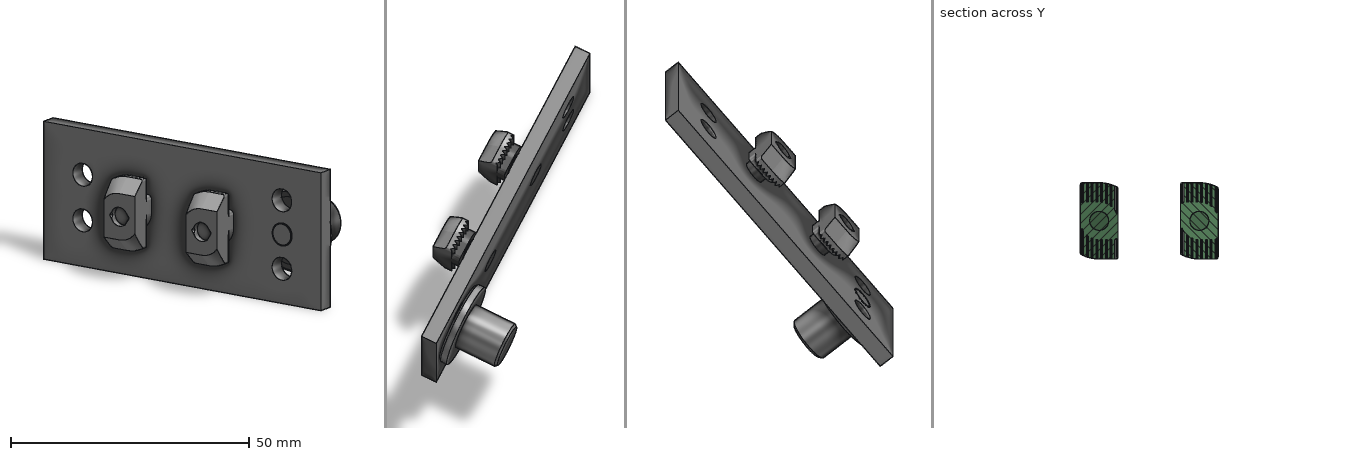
import cadquery as cq
import math


plate_length = 71.0
plate_height = 30.0
plate_thickness = 3.5
hole_radius = 2.5
outer_column_x = 25.5
left_hole_z = 5.0
right_hole_z = 7.45

pin_radius = hole_radius
pin_chamfer = 0.2
stud_xs = (-10.5, 10.5)
spigot_radius = 2.05
spigot_recess = 1.4

nut_gap = 1.9
boss_height = 1.4
boss_radius = 4.0
boss_corner_radius = 1.0
head_half_width = boss_radius
head_half_height = 8.0
head_thickness = 4.7
head_corner_radius = 0.5
head_bevel = 3.0
tooth_pitch = 1.0
tooth_depth = 0.8
side_land_width = 0.3
side_land_depth = 0.35
notch_reach = 2.5
notch_taper = 30.0

boss_y = -nut_gap
tooth_tip_y = boss_y - boss_height
nut_front_y = tooth_tip_y - head_thickness
spigot_end_y = nut_front_y + spigot_recess

flange_radius = 9.0
flange_thickness = 1.9
flange_chamfer = 0.5
neck_radius = 5.0
neck_length = 9.65
neck_chamfer = 0.5
disc_radius = 7.4
disc_thickness = 1.0


def slab(outline_xz, y_start, y_end):
    """Extrude a closed XZ sketch, drawn on the 'XZ' plane, from y_start to y_end."""
    return outline_xz.extrude(y_start - y_end).translate((0, y_start, 0))


def rod(radius, y_start, y_end):
    """Cylinder along Y."""
    return slab(cq.Workplane("XZ").circle(radius), y_start, y_end)


def make_plate():
    hole_places = [(outer_column_x, 0)]
    hole_places += [(x, 0) for x in stud_xs]
    for side in (-1, 1):
        hole_places.append((-outer_column_x, side * left_hole_z))
        hole_places.append((outer_column_x, side * right_hole_z))
    plate = slab(cq.Workplane("XZ").rect(plate_length, plate_height), 0, plate_thickness)
    holes = slab(cq.Workplane("XZ").pushPoints(hole_places).circle(hole_radius), 0, plate_thickness)
    return plate.cut(holes)


def make_pin():
    """Plain rod through the plate, chamfered at its flush front end."""
    return rod(pin_radius, 0, plate_thickness).faces("<Y").chamfer(pin_chamfer)


def make_stud():
    """Rod from the back of the plate to the nut, with a thinner spigot inside the nut."""
    shank = rod(pin_radius, boss_y, plate_thickness).faces("<Y").chamfer(pin_chamfer)
    return shank.union(rod(spigot_radius, spigot_end_y, boss_y))


def quarter_turn_outline(half_width, half_height):
    """Rectangle whose upper left and lower right quarters are cut to arcs about its centre."""
    radius = half_height
    arc_end_z = math.sqrt(radius**2 - half_width**2)
    middle_angle = (math.pi / 2 + math.atan2(arc_end_z, -half_width)) / 2
    middle_x = radius * math.cos(middle_angle)
    middle_z = radius * math.sin(middle_angle)
    outline = cq.Workplane("XZ").moveTo(half_width, half_height).lineTo(0, half_height)
    outline = outline.threePointArc((middle_x, middle_z), (-half_width, arc_end_z))
    outline = outline.lineTo(-half_width, -half_height).lineTo(0, -half_height)
    outline = outline.threePointArc((-middle_x, -middle_z), (half_width, -arc_end_z))
    return outline.close()


def make_nut_head():
    outline = quarter_turn_outline(head_half_width, head_half_height)
    sharp = slab(outline, nut_front_y, tooth_tip_y)
    rounded = sharp.edges("|Y").edges(">X or <X").fillet(head_corner_radius)
    bevelled = sharp.faces("<Y").edges("not |Z").chamfer(head_bevel)
    return rounded.intersect(bevelled)


def make_tooth_grooves():
    """V grooves along Z between the teeth on the back of the nut head."""
    groove_count = 2 * math.ceil(head_half_width / tooth_pitch)
    grooves = cq.Workplane("XY")
    for index in range(groove_count):
        centre_x = (index - (groove_count - 1) / 2) * tooth_pitch
        grooves = grooves.moveTo(centre_x - tooth_pitch / 2, tooth_tip_y)
        grooves = grooves.lineTo(centre_x, tooth_tip_y - tooth_depth)
        grooves = grooves.lineTo(centre_x + tooth_pitch / 2, tooth_tip_y).close()
    return grooves.extrude(head_half_height, both=True)


def make_side_lands():
    """Cutters that leave narrow flats along both sides of the toothed face."""
    land_x = head_half_width - side_land_width / 2
    lands = cq.Workplane("XZ").pushPoints([(-land_x, 0), (land_x, 0)])
    lands = lands.rect(side_land_width, 2 * head_half_height)
    return slab(lands, tooth_tip_y - side_land_depth, tooth_tip_y)


def make_nut_boss():
    """Boss round in two opposite quarters and square, with small rounded corners, in the others."""
    arc_offset = boss_radius * math.sqrt(0.5)
    outline = cq.Workplane("XZ").moveTo(boss_radius, boss_radius).lineTo(0, boss_radius)
    outline = outline.threePointArc((-arc_offset, arc_offset), (-boss_radius, 0))
    outline = outline.lineTo(-boss_radius, -boss_radius).lineTo(0, -boss_radius)
    outline = outline.threePointArc((arc_offset, -arc_offset), (boss_radius, 0)).close()
    boss = slab(outline, tooth_tip_y - tooth_depth, boss_y)
    for side in (-1, 1):
        corner = (side * boss_radius, boss_y, side * boss_radius)
        square_corner = boss.edges("|Y").edges(cq.selectors.NearestToPointSelector(corner))
        boss = square_corner.fillet(boss_corner_radius)
    return boss


def make_side_notches():
    """Two pointed notches beside the bore, tangent to it and tapering inward."""
    tangent_angle = math.acos(spigot_radius / notch_reach)
    tangent_x = spigot_radius * math.cos(tangent_angle)
    tangent_z = spigot_radius * math.sin(tangent_angle)
    outline = cq.Workplane("XZ").polyline([
        (notch_reach, 0), (tangent_x, tangent_z), (-tangent_x, tangent_z),
        (-notch_reach, 0), (-tangent_x, -tangent_z), (tangent_x, -tangent_z),
    ]).close()
    depth = (notch_reach - spigot_radius) / math.tan(math.radians(notch_taper))
    return outline.extrude(-depth, taper=notch_taper).translate((0, nut_front_y, 0))


def make_nut():
    head = make_nut_head().cut(make_tooth_grooves()).cut(make_side_lands())
    nut = head.union(make_nut_boss())
    nut = nut.cut(rod(spigot_radius, nut_front_y, boss_y))
    return nut.cut(make_side_notches())


def make_pot():
    flange_back_y = plate_thickness + flange_thickness
    neck_end_y = flange_back_y + neck_length
    flange = rod(flange_radius, plate_thickness, flange_back_y).faces("<Y").chamfer(flange_chamfer)
    neck = rod(neck_radius, flange_back_y, neck_end_y).faces(">Y").chamfer(neck_chamfer)
    return flange.union(neck).cut(make_disc())


def make_disc():
    """Magnet disc set flush into the front of the pot."""
    return rod(disc_radius, plate_thickness, plate_thickness + disc_thickness)


plate = make_plate()
studs = [make_stud().translate((x, 0, 0)) for x in stud_xs]
nuts = [make_nut().translate((x, 0, 0)) for x in stud_xs]
pin = make_pin().translate((outer_column_x, 0, 0))
pot = make_pot().translate((outer_column_x, 0, 0))
disc = make_disc().translate((outer_column_x, 0, 0))

result = cq.Compound.makeCompound([
    plate.val(),
    *[stud.val() for stud in studs],
    *[nut.val() for nut in nuts],
    pin.val(),
    pot.val(),
    disc.val(),
])